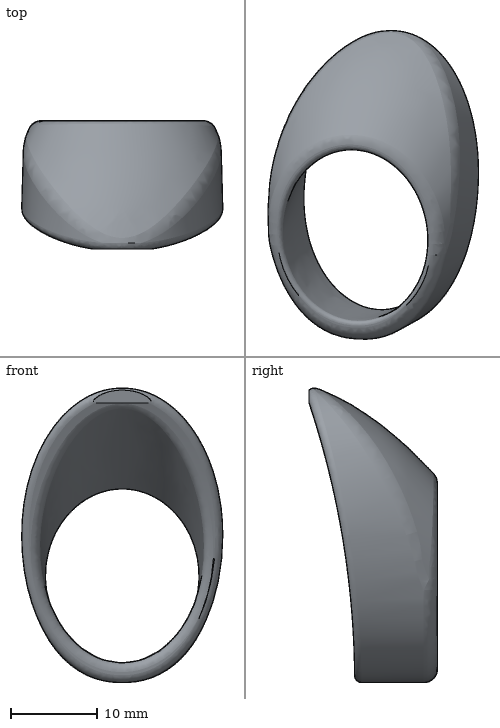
import cadquery as cq
import math


body_height = 34.26
body_half_width_back = 11.42
body_half_width_front = 11.9
body_lower_power_back = 2.2
ellipse_power = 2.0
points_per_section = 24
body_center_z = body_height / 2

front_depth_bottom = 9.65
front_depth_top = 15.55
tip_flat_depth = 14.95
front_rise = front_depth_top - front_depth_bottom
front_radius = (body_height**2 + front_rise**2) / (2 * front_rise)

loft_depth = 18.0

tool_span = 3 * body_height

ridge_points = [(0.0, 23.8), (5.6, 29.2), (loft_depth, 35.3)]
cap_half_height = 11.4
cap_half_width_points = [(0.0, 10.4), (5.0, 12.35), (loft_depth, 13.8)]
cap_section_count = 5
cap_floor_z = -5.0

bore_half_width_back = 8.87
bore_bottom_back = 2.33
bore_top_back = 22.05
bore_half_width_front = 10.05
bore_bottom_front = 2.3
bore_top_front = 34.2

cap_edge_radius = 2.5
back_outer_radius = 1.6
front_outer_radius = 0.85
front_bore_radius = 1.1
back_bore_radius = 0.5

face_tolerance = 0.05
edge_sample_places = (0.1, 0.5, 0.9)


def section_plane(depth):
    """XZ workplane at a depth from the back, with local x along X and local y along Z."""
    return cq.Workplane("XZ", origin=(0, -depth, 0))


def body_section(depth, half_width, lower_power):
    """Closed oval: an ellipse above its centre, a superellipse below."""
    points = []
    for i in range(points_per_section):
        angle = 2 * math.pi * i / points_per_section
        across = math.cos(angle)
        up = math.sin(angle)
        power = lower_power if up < 0 else ellipse_power
        reach = (abs(across) ** power + abs(up) ** power) ** (-1 / power)
        points.append((half_width * reach * across, body_center_z * (1 + reach * up)))
    return section_plane(depth).spline(points, periodic=True).close().val()


def make_body():
    back = body_section(0, body_half_width_back, body_lower_power_back)
    front = body_section(loft_depth, body_half_width_front, ellipse_power)
    return cq.Workplane(cq.Solid.makeLoft([back, front], True))


def parabola(points, depth):
    """Value at a depth on the parabola through three (depth, value) points."""
    value = 0
    for own_depth, own_value in points:
        weight = 1
        for other_depth, _ in points:
            if other_depth != own_depth:
                weight *= (depth - other_depth) / (own_depth - other_depth)
        value += weight * own_value
    return value


def cap_section(depth):
    """Half-elliptical arch on straight legs that stand on a floor below the body."""
    half_width = parabola(cap_half_width_points, depth)
    spring_z = parabola(ridge_points, depth) - cap_half_height
    return (
        section_plane(depth)
        .moveTo(half_width, spring_z)
        .ellipseArc(half_width, cap_half_height, 0, 180, startAtCurrent=True)
        .lineTo(-half_width, cap_floor_z)
        .lineTo(half_width, cap_floor_z)
        .close()
        .val()
    )


def make_cap():
    """Solid under the arched cap."""
    step = loft_depth / (cap_section_count - 1)
    sections = [cap_section(i * step) for i in range(cap_section_count)]
    return cq.Workplane(cq.Solid.makeLoft(sections))


def make_front_cylinder():
    """Cylinder along X whose surface is the curved front."""
    return (
        cq.Workplane("YZ")
        .center(-front_depth_bottom - front_radius, 0)
        .circle(front_radius)
        .extrude(tool_span / 2, both=True)
    )


def make_tip_trim():
    """Block beyond the small flat at the tip."""
    return section_plane(tip_flat_depth).rect(tool_span, tool_span).extrude(loft_depth)


def bore_section(depth, half_width, bottom, top):
    return (
        section_plane(depth)
        .center(0, (bottom + top) / 2)
        .ellipse(half_width, (top - bottom) / 2)
        .wires()
        .val()
    )


def make_bore():
    back = bore_section(0, bore_half_width_back, bore_bottom_back, bore_top_back)
    front = bore_section(loft_depth, bore_half_width_front, bore_bottom_front, bore_top_front)
    return cq.Workplane(cq.Solid.makeLoft([back, front], True))


def front_depth(z):
    """Depth of the front surface at a height."""
    return front_depth_bottom + front_radius - math.sqrt(front_radius**2 - z**2)


def lies_on_back(edge):
    return edge.BoundingBox().ymin > -face_tolerance


def lies_on_front(edge):
    for place in edge_sample_places:
        point = edge.positionAt(place)
        if abs(point.y + front_depth(point.z)) > face_tolerance:
            return False
    return True


def goes_around_bore(edge):
    """A closed edge that stays clear of the outside of the ring at the bottom."""
    return edge.IsClosed() and edge.BoundingBox().zmin > bore_bottom_front - face_tolerance


def is_front_bore_edge(edge):
    return goes_around_bore(edge) and lies_on_front(edge)


def is_back_bore_edge(edge):
    return goes_around_bore(edge) and lies_on_back(edge)


def is_cap_edge(edge):
    """The long edge between the cap and the body, apart from the short seams of the body."""
    box = edge.BoundingBox()
    return box.xlen > body_half_width_back and not lies_on_back(edge) and not lies_on_front(edge)


def round_edges(part, radius, wanted):
    edges = [edge for edge in part.edges().vals() if wanted(edge)]
    return part.newObject(edges).fillet(radius)


def make_ring():
    ring = make_body().intersect(make_cap())
    ring = ring.cut(make_front_cylinder())
    ring = round_edges(ring, cap_edge_radius, is_cap_edge)
    ring = round_edges(ring, back_outer_radius, lies_on_back)
    ring = round_edges(ring, front_outer_radius, lies_on_front)
    ring = ring.cut(make_bore())
    ring = round_edges(ring, front_bore_radius, is_front_bore_edge)
    ring = round_edges(ring, back_bore_radius, is_back_bore_edge)
    ring = ring.cut(make_tip_trim())
    return ring


result = make_ring()